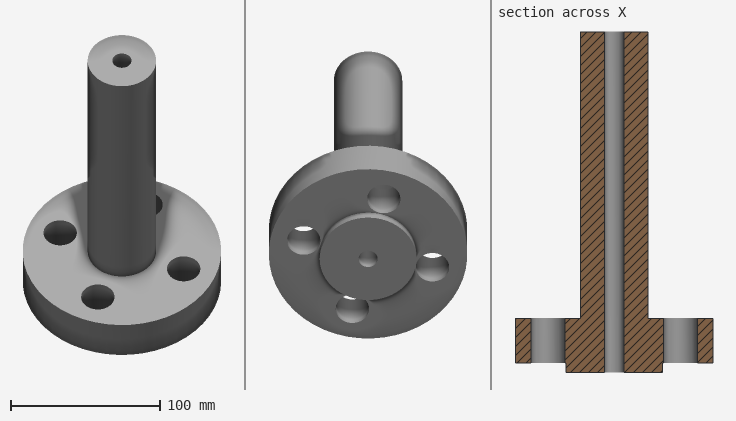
import cadquery as cq

total_height = 228.5
flange_diameter = 133.3
flange_thickness = 30.2
face_diameter = 65.0
face_height = 6.5
neck_diameter = 46.0
bore_diameter = 12.8

bolt_count = 4
bolt_circle_diameter = 89.0
bolt_hole_diameter = 22.5

neck_height = total_height - face_height - flange_thickness


def stack_disc(body, diameter, height):
    """Add a coaxial disc on the top face of the body."""
    return body.faces(">Z").workplane().circle(diameter / 2).extrude(height)


result = cq.Workplane("XY").circle(face_diameter / 2).extrude(face_height)
result = stack_disc(result, flange_diameter, flange_thickness)
result = stack_disc(result, neck_diameter, neck_height)

result = result.faces(">Z").workplane().hole(bore_diameter)

bolt_holes = (
    cq.Workplane("XY")
    .workplane(offset=face_height)
    .polarArray(bolt_circle_diameter / 2, 0, 360, bolt_count)
    .circle(bolt_hole_diameter / 2)
    .extrude(flange_thickness)
)
result = result.cut(bolt_holes)